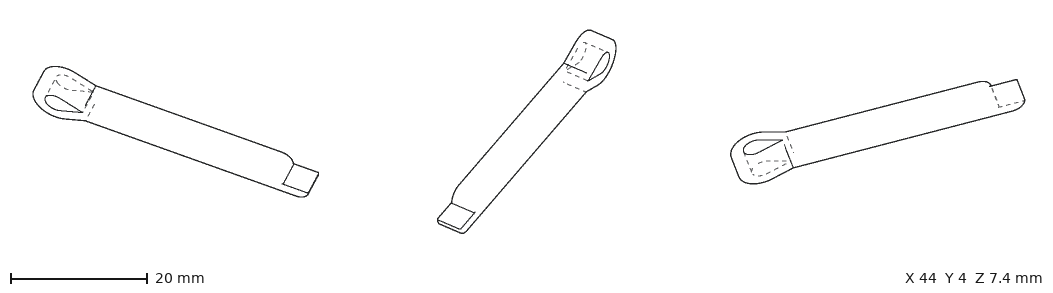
import cadquery as cq
import math

wire_thickness = 2.0
pin_width = 4.0
eye_inner_radius = 1.7
eye_outer_radius = eye_inner_radius + wire_thickness
eye_tip = 4.32
edge_round = 0.2

overall_length = 43.99
long_prong = overall_length - eye_outer_radius
prong_step = 4.0
short_prong = long_prong - prong_step

flank_angle = math.asin(eye_inner_radius / eye_tip)
flank_sin = math.sin(flank_angle)
flank_cos = math.cos(flank_angle)
shank_start = (eye_outer_radius - wire_thickness * flank_cos) / flank_sin


def tangent_point(radius):
    """Upper point where a flank touches the eye circle of the given radius."""
    return radius * flank_sin, radius * flank_cos


def extrude_across_width(outline):
    """Extrude an XZ outline symmetrically along Y."""
    return outline.close().extrude(pin_width / 2, both=True)


def pin_blank(prong_length):
    """Solid pin of one length with a round end and rounded side edges."""
    touch_x, touch_z = tangent_point(eye_outer_radius)
    straight_end = prong_length - wire_thickness
    outline = (
        cq.Workplane("XZ")
        .moveTo(touch_x, touch_z)
        .lineTo(shank_start, wire_thickness)
        .lineTo(straight_end, wire_thickness)
        .threePointArc((prong_length, 0), (straight_end, -wire_thickness))
        .lineTo(shank_start, -wire_thickness)
        .lineTo(touch_x, -touch_z)
        .threePointArc((-eye_outer_radius, 0), (touch_x, touch_z))
    )
    return extrude_across_width(outline).faces("<Y or >Y").edges().fillet(edge_round)


def lower_half_space():
    """Box enclosing everything below the mid-plane Z = 0."""
    return (
        cq.Workplane("XY")
        .box(2 * overall_length, 2 * pin_width, 2 * eye_outer_radius)
        .translate((0, 0, -eye_outer_radius))
    )


def eye_opening():
    """Teardrop opening through the eye."""
    touch_x, touch_z = tangent_point(eye_inner_radius)
    outline = (
        cq.Workplane("XZ")
        .moveTo(eye_tip, 0)
        .lineTo(touch_x, touch_z)
        .threePointArc((-eye_inner_radius, 0), (touch_x, -touch_z))
    )
    return extrude_across_width(outline)


lower_half = pin_blank(long_prong).intersect(lower_half_space())
upper_half = pin_blank(short_prong).cut(lower_half_space())

result = lower_half.union(upper_half).cut(eye_opening())